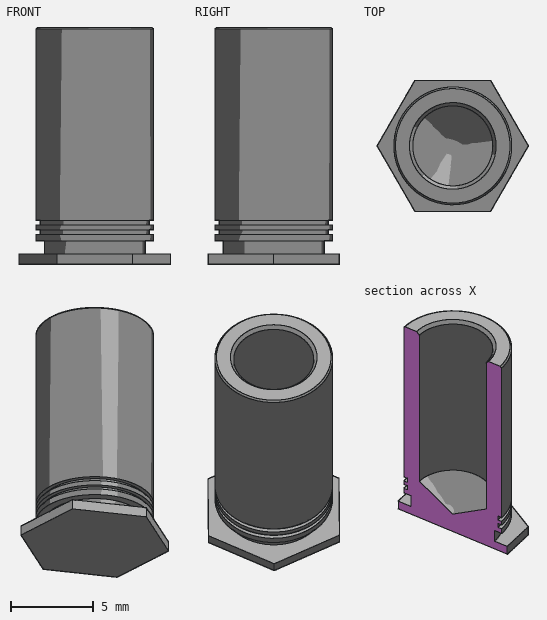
import cadquery as cq
import math

total_height = 14.29
hex_across_corners = 9.15
hex_height = 0.63

barrel_diameter = 7.12
groove_diameter = 6.6
neck_diameter = 6.1
barrel_edge_chamfer = 0.1

neck_top = 1.41
lower_ring_height = 0.39
groove_height = 0.27
upper_ring_height = 0.3

bore_diameter = 4.83
bore_mouth_diameter = 5.23
bore_straight_bottom = 2.83
drill_point_angle = 118.0


def cylinder(diameter, bottom, top):
    """Vertical cylinder on the part axis between two heights."""
    return cq.Workplane("XY").workplane(offset=bottom).circle(diameter / 2).extrude(top - bottom)


def make_hex_head():
    """Hexagonal flange with two corners on the X axis."""
    return cq.Workplane("XY").polygon(6, hex_across_corners).extrude(hex_height)


def make_barrel():
    """Round barrel with a neck and two grooves above the hexagon."""
    barrel = cylinder(barrel_diameter, neck_top, total_height).faces(">Z").edges().chamfer(barrel_edge_chamfer)
    lower_groove_bottom = neck_top + lower_ring_height
    upper_groove_bottom = lower_groove_bottom + groove_height + upper_ring_height
    for bottom in (lower_groove_bottom, upper_groove_bottom):
        top = bottom + groove_height
        groove = cylinder(barrel_diameter, bottom, top).cut(cylinder(groove_diameter, bottom, top))
        barrel = barrel.cut(groove)
    return barrel.union(cylinder(neck_diameter, hex_height, neck_top))


def make_bore():
    """Blind bore: conical bottom, straight wall and a 45 degree mouth chamfer."""
    bore_radius = bore_diameter / 2
    mouth_radius = bore_mouth_diameter / 2
    mouth_depth = mouth_radius - bore_radius
    point_depth = bore_radius / math.tan(math.radians(drill_point_angle / 2))
    return (
        cq.Workplane("XZ")
        .moveTo(0, bore_straight_bottom - point_depth)
        .lineTo(bore_radius, bore_straight_bottom)
        .lineTo(bore_radius, total_height - mouth_depth)
        .lineTo(mouth_radius, total_height)
        .lineTo(0, total_height)
        .close()
        .revolve(360, (0, 0, 0), (0, 1, 0))
    )


result = make_hex_head().union(make_barrel()).cut(make_bore())